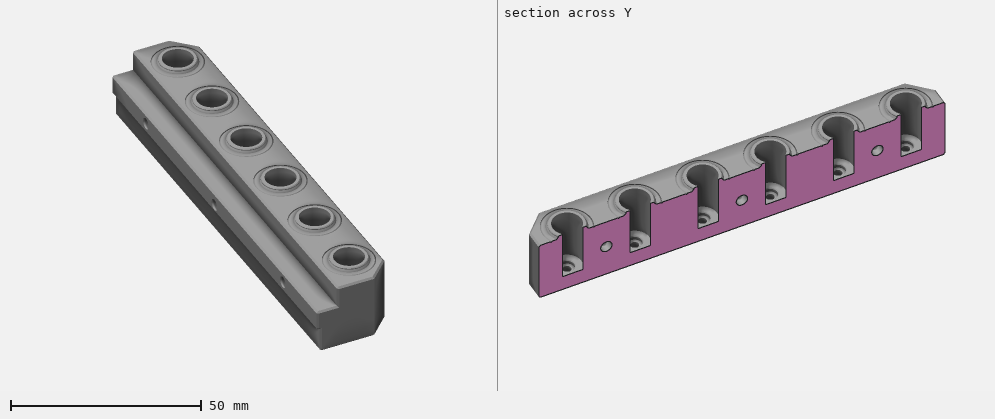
import cadquery as cq

length = 120.0
depth = 22.8
total_height = 20.0
block_height = 19.0

step_depth = 6.0
ledge_height = 13.0
lip_overhang = 1.0
lip_bottom = 7.1
corner_cut = 6.0
edge_chamfer = 0.5

bushing_count = 6
pitch = length / bushing_count
bushing_y = depth - (depth - step_depth) / 2
groove_diameter = 14.3
groove_depth = 0.4
bushing_base_diameter = 11.3
bushing_top_diameter = 10.5
bushing_taper_height = 0.6
bushing_chamfer = 0.2
bore_diameter = 8.4
bore_floor = 4.8
pilot_diameter = 4.1
pilot_depth = 1.2
pilot_chamfer = 0.2
drain_diameter = 2.3

cross_diameter = 3.2
outer_cross_height = 10.0
middle_cross_height = 9.4
cross_holes = [
    (pitch, outer_cross_height),
    (length / 2, middle_cross_height),
    (length - pitch, outer_cross_height),
]


def make_block():
    """Stepped bar with two cut rear corners; all outer edges but the upright rear ones are chamfered."""
    profile = [
        (lip_overhang, 0),
        (depth, 0),
        (depth, block_height),
        (step_depth, block_height),
        (step_depth, ledge_height),
        (0, ledge_height),
        (0, lip_bottom),
        (lip_overhang, lip_bottom),
    ]
    bar = cq.Workplane("YZ").polyline(profile).close().extrude(length)
    bar = bar.edges("|Z and >Y").chamfer(corner_cut)
    outer_edges = bar.faces("<X or >X or <Z or >Z or <Y").edges()
    rear_corners = [edge for edge in bar.edges("|Z").vals() if edge.Center().y > bushing_y]
    chamfered = [edge for edge in outer_edges.vals() if edge not in rear_corners]
    return bar.newObject(chamfered).chamfer(edge_chamfer)


def revolve_section(half_section):
    """Solid of revolution about Z from (radius, height) points."""
    return cq.Workplane("XZ").polyline(half_section).close().revolve(360, (0, 0), (0, 1))


def make_groove():
    """Ring with an upright outer wall and a sloped inner wall."""
    radius = groove_diameter / 2
    return revolve_section([
        (radius, block_height),
        (radius, block_height - groove_depth),
        (radius - groove_depth, block_height),
    ])


def make_bushing():
    """Tapered collar with a straight chamfered rim, revolved about its own axis."""
    half_section = [
        (0, block_height),
        (bushing_base_diameter / 2, block_height),
        (bushing_top_diameter / 2, block_height + bushing_taper_height),
        (bushing_top_diameter / 2, total_height - bushing_chamfer),
        (bushing_top_diameter / 2 - bushing_chamfer, total_height),
        (0, total_height),
    ]
    return revolve_section(half_section)


def make_bore():
    """Deep bore stepping down through a chamfered pilot to a drain hole."""
    half_section = [
        (0, 0),
        (drain_diameter / 2, 0),
        (drain_diameter / 2, bore_floor - pilot_depth),
        (pilot_diameter / 2, bore_floor - pilot_depth),
        (pilot_diameter / 2, bore_floor - pilot_chamfer),
        (pilot_diameter / 2 + pilot_chamfer, bore_floor),
        (bore_diameter / 2, bore_floor),
        (bore_diameter / 2, total_height),
        (0, total_height),
    ]
    return revolve_section(half_section)


result = make_block()

groove = make_groove()
bushing = make_bushing()
bore = make_bore()
for i in range(bushing_count):
    place = (pitch * (i + 0.5), bushing_y, 0)
    result = result.cut(groove.translate(place))
    result = result.union(bushing.translate(place))
    result = result.cut(bore.translate(place))

for x, z in cross_holes:
    cross_hole = cq.Workplane("XZ").center(x, z).circle(cross_diameter / 2).extrude(-depth)
    result = result.cut(cross_hole)